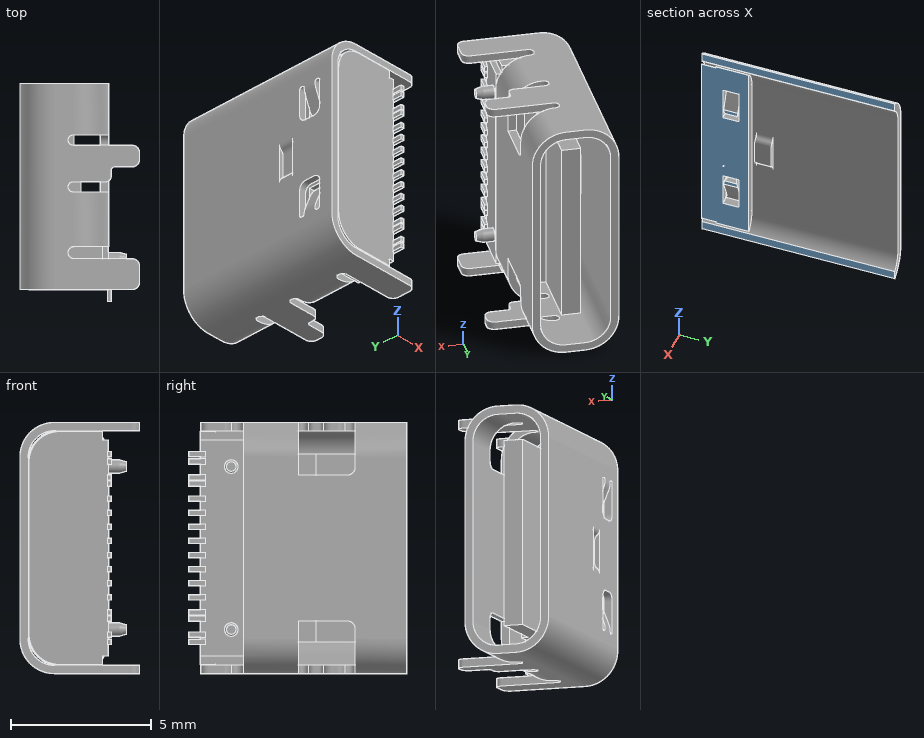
import cadquery as cq
import math


shell_depth = 3.165
shell_length = 7.33
shell_height = 8.94
wall = 0.3
corner_radius = 1.23
inner_half_height = shell_height / 2 - wall
tangent_x = shell_depth - corner_radius

tab_end = 4.26
tab_corner = 0.28
rear_tab_width = 1.11
rear_slot_width = 0.42
front_tab_start = 3.835
front_tab_end = 5.14
front_tab_step = 4.36
short_tab_end = 3.25
short_tab_corner = 0.2
step_fillet = 0.125
front_slot_width = 0.36
slot_end_x = 1.72
blank_half_height = 2.59
blank_corner = 0.29

finger_y = 1.1
finger_width = 0.54
finger_gap = 0.22
finger_root_z = 2.66
finger_tip_z = 1.56
finger_angle = 22.0
finger_bend_length = 0.23
finger_tip_radius = 0.215
window_top_z = 2.76
window_bottom_z = 1.29
window_corner = 0.29

pad_start_y = 1.96
pad_width = 0.63
pad_half_height = 0.78
pad_flat_half_height = 0.42
pad_depth = 0.18

housing_rear = 0.02
housing_front = 1.79
housing_gap = 0.03
gap_length = 0.54
housing_corner = 1.07
shoulder_x = 2.94
foot_x = 3.15
foot_half_height = 3.84
pocket_width = 0.59
pocket_bottom_z = 1.44
pocket_depth = 0.63

tongue_half_height = 3.34
tongue_base_thickness = 1.2
tongue_base_end = 4.11
tongue_thickness = 0.7
tongue_end = 6.62

tail_width = 0.2
tail_thickness = 0.14
tail_x = 3.11
tail_reach = 0.42
tail_embed = 0.18
tail_offsets = [0.25, 0.75, 1.25, 1.75, 2.29, 2.51, 3.075, 3.335]

peg_y = 1.09
peg_offset = 2.9
peg_radius = 0.24
peg_tip_radius = 0.17
peg_shoulder_x = 3.55
peg_end_x = 3.8
peg_embed = 0.18


def block(x, y, z):
    """Box from (low, high) pairs along each axis."""
    size = (x[1] - x[0], y[1] - y[0], z[1] - z[0])
    return cq.Workplane("XY").box(*size, centered=False).translate((x[0], y[0], z[0]))


def with_mirror(body):
    """The body together with its mirror image below the mid-plane."""
    return body.union(body.mirror("XY"))


def slot_cutter(y, width):
    """Round-ended relief slot cut through the upper side wall next to a tab."""
    radius = width / 2
    round_end = (
        cq.Workplane("XY", origin=(slot_end_x + radius, y + radius, inner_half_height - wall))
        .circle(radius)
        .extrude(3 * wall)
    )
    straight = block(
        (slot_end_x + radius, tangent_x + radius),
        (y, y + width),
        (inner_half_height - wall, shell_height / 2 + wall),
    )
    return round_end.union(straight)


def make_tube():
    """Rounded rectangular tube before the tabs are cut free."""
    outer = block((0, shell_depth), (0, shell_length), (-shell_height / 2, shell_height / 2))
    outer = outer.edges("|Y").fillet(corner_radius)
    inner = block(
        (wall, shell_depth - wall),
        (0, shell_length),
        (-inner_half_height, inner_half_height),
    )
    inner = inner.edges("|Y").fillet(corner_radius - wall)
    return outer.cut(inner)


def make_tabs():
    """Upper pair of flat tabs that continue the side wall past the rounded corner."""
    plane = cq.Workplane("XY", origin=(0, 0, inner_half_height))
    rear = (
        plane.moveTo(tangent_x, 0)
        .lineTo(tab_end, 0)
        .lineTo(tab_end, rear_tab_width)
        .lineTo(tangent_x, rear_tab_width)
        .close()
        .extrude(wall)
        .edges("|Z and >X")
        .fillet(tab_corner)
    )
    front = (
        plane.moveTo(tangent_x, front_tab_start)
        .lineTo(short_tab_end - short_tab_corner, front_tab_start)
        .radiusArc((short_tab_end, front_tab_start + short_tab_corner), -short_tab_corner)
        .lineTo(short_tab_end, front_tab_step - step_fillet)
        .radiusArc((short_tab_end + step_fillet, front_tab_step), step_fillet)
        .lineTo(tab_end, front_tab_step)
        .lineTo(tab_end, front_tab_end)
        .lineTo(tangent_x, front_tab_end)
        .close()
        .extrude(wall)
        .edges("|Z and >X")
        .fillet(tab_corner)
    )
    return rear.union(front)


def make_tab_clearance():
    """Material missing from the tube where the tabs stay unbent (upper half)."""
    top = shell_height / 2 + wall
    rear_opening = block(
        (tangent_x, tab_end),
        (0, rear_tab_width + rear_slot_width),
        (0, top),
    )
    opening_start = front_tab_start - front_slot_width
    opening_end = front_tab_end + front_slot_width
    front_opening = block(
        (tangent_x, tab_end),
        (opening_start, opening_end),
        (blank_half_height, top),
    )
    front_opening = front_opening.edges("|X and >Y and <Z").fillet(blank_corner)
    clearance = rear_opening.union(front_opening)
    clearance = clearance.union(slot_cutter(rear_tab_width, rear_slot_width))
    clearance = clearance.union(slot_cutter(opening_start, front_slot_width))
    return clearance.union(slot_cutter(front_tab_end, front_slot_width))


def make_finger_window():
    """U-shaped opening around the upper finger, its two arms ending in rounds above the root."""
    half_width = finger_width / 2 + finger_gap
    window = block(
        (0, wall),
        (finger_y - half_width, finger_y + half_width),
        (window_bottom_z, finger_root_z),
    )
    window = window.edges("|X and <Z").fillet(window_corner)
    for arm_y in (finger_y - half_width, finger_y + finger_width / 2):
        arm = block(
            (0, wall),
            (arm_y, arm_y + finger_gap),
            (window_bottom_z + window_corner, window_top_z),
        )
        window = window.union(arm.edges("|X and >Z").fillet(window_top_z - finger_root_z))
    return window


def make_finger():
    """Upper finger: bends inwards from its root and slopes towards the mid-plane."""
    angle = math.radians(finger_angle)
    bend_radius = finger_bend_length / math.sin(angle)
    inner_radius = bend_radius - wall
    tip_z = finger_tip_z
    bend_x = bend_radius * (1 - math.cos(angle))
    bend_z = finger_root_z - finger_bend_length
    tip_x = bend_x + (bend_z - tip_z) * math.tan(angle)
    across = (wall * math.cos(angle), wall * math.sin(angle))
    bend_inner_x = bend_radius - inner_radius * math.cos(angle)
    bend_inner_z = finger_root_z - inner_radius * math.sin(angle)
    finger = (
        cq.Workplane("XZ", origin=(0, finger_y + finger_width / 2, 0))
        .moveTo(0, window_top_z)
        .lineTo(0, finger_root_z)
        .radiusArc((bend_x, bend_z), -bend_radius)
        .lineTo(tip_x, tip_z)
        .lineTo(tip_x + across[0], tip_z + across[1])
        .lineTo(bend_inner_x, bend_inner_z)
        .radiusArc((wall, finger_root_z), inner_radius)
        .lineTo(wall, window_top_z)
        .close()
        .extrude(finger_width)
    )
    outline = block(
        (0, shell_depth),
        (finger_y - finger_width / 2, finger_y + finger_width / 2),
        (finger_tip_z, window_top_z),
    )
    outline = outline.edges("|X and <Z").fillet(finger_tip_radius)
    return finger.intersect(outline)


def pad_swelling(x):
    """Swelling of the pressed pad beyond x: a flat between two S-bends of equal arcs."""
    bend_length = (pad_half_height - pad_flat_half_height) / 2
    bend_depth = pad_depth / 2
    radius = (bend_length**2 + bend_depth**2) / (2 * bend_depth)
    middle_z = pad_flat_half_height + bend_length
    middle_x = x + bend_depth
    deep_x = x + pad_depth
    return (
        cq.Workplane("XZ", origin=(0, pad_start_y + pad_width, 0))
        .moveTo(x, pad_half_height)
        .radiusArc((middle_x, middle_z), -radius)
        .radiusArc((deep_x, pad_flat_half_height), radius)
        .lineTo(deep_x, -pad_flat_half_height)
        .radiusArc((middle_x, -middle_z), radius)
        .radiusArc((x, -pad_half_height), -radius)
        .close()
        .extrude(pad_width)
    )


def make_shell():
    """Bent sheet shell with its tabs, fingers and pressed pad."""
    shell = make_tube().cut(with_mirror(make_tab_clearance()))
    shell = shell.union(with_mirror(make_tabs()))
    shell = shell.cut(with_mirror(make_finger_window()))
    shell = shell.union(with_mirror(make_finger()))
    return shell.cut(pad_swelling(0)).union(pad_swelling(wall))


def housing_section(gap, y_range):
    """Housing slice that clears the shell's inner faces by the given gap."""
    half_height = inner_half_height - gap
    section = block((wall + gap, shoulder_x), y_range, (-half_height, half_height))
    section = section.edges("|Y and <X").fillet(housing_corner)
    foot = block((shell_depth / 2, foot_x), y_range, (-foot_half_height, foot_half_height))
    return section.union(foot)


def make_front_wall(y_range):
    """Closing wall of the housing inside the complete tube."""
    front_wall = block(
        (wall, shell_depth - wall),
        y_range,
        (-inner_half_height, inner_half_height),
    )
    return front_wall.edges("|Y").fillet(housing_corner)


def make_housing():
    """Moulded insert closing the rear of the shell, with pockets behind the fingers."""
    full_tube_start = rear_tab_width + rear_slot_width
    rear = housing_section(housing_gap, (-housing_rear, gap_length))
    middle = housing_section(0, (gap_length, full_tube_start))
    inside = make_front_wall((full_tube_start, housing_front))
    housing = rear.union(middle).union(inside)
    pocket = block(
        (wall, wall + pocket_depth),
        (finger_y - pocket_width / 2, finger_y + pocket_width / 2),
        (pocket_bottom_z, window_top_z),
    )
    return housing.cut(with_mirror(pocket))


def tongue_slab(thickness, end_y):
    """Slab centred in the shell, reaching from the housing towards the opening."""
    mid_x = shell_depth / 2
    return block(
        (mid_x - thickness / 2, mid_x + thickness / 2),
        (housing_front, end_y),
        (-tongue_half_height, tongue_half_height),
    )


def make_tongue():
    """Contact tongue with a thicker base."""
    base = tongue_slab(tongue_base_thickness, tongue_base_end)
    return base.union(tongue_slab(tongue_thickness, tongue_end))


def make_tails():
    """Upper row of contact tails leaving the rear of the housing."""
    tails = cq.Workplane("XY")
    for offset in tail_offsets:
        tail = block(
            (tail_x, tail_x + tail_thickness),
            (-tail_reach, tail_embed),
            (offset - tail_width / 2, offset + tail_width / 2),
        )
        tails = tails.union(tail)
    return tails


def make_peg():
    """Upper locating peg with a tapered tip."""
    return (
        cq.Workplane("XY")
        .moveTo(foot_x - peg_embed, 0)
        .lineTo(foot_x - peg_embed, peg_radius)
        .lineTo(peg_shoulder_x, peg_radius)
        .lineTo(peg_end_x, peg_tip_radius)
        .lineTo(peg_end_x, 0)
        .close()
        .revolve(360, (0, 0, 0), (1, 0, 0))
        .translate((0, peg_y, peg_offset))
    )


result = (
    make_shell()
    .union(make_housing())
    .union(make_tongue())
    .union(with_mirror(make_tails()))
    .union(with_mirror(make_peg()))
)